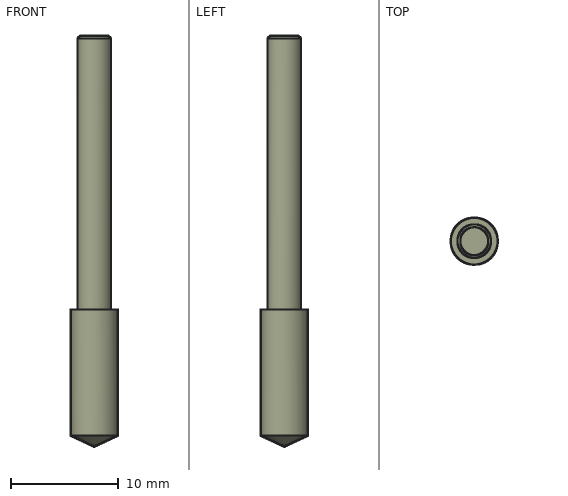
import cadquery as cq

total_length = 38.1
sleeve_diameter = 4.4
pin_diameter = 3.12
point_height = 1.03
sleeve_top = 12.73
end_chamfer = 0.25


def make_sleeve():
    """Solid cylinder whose lower end narrows to a conical point."""
    radius = sleeve_diameter / 2
    return (
        cq.Workplane("XZ")
        .moveTo(0, 0)
        .lineTo(radius, point_height)
        .lineTo(radius, sleeve_top)
        .lineTo(0, sleeve_top)
        .close()
        .revolve(360, (0, 0, 0), (0, 1, 0))
    )


def make_pin():
    """Round pin standing on the sleeve, chamfered at its free end."""
    return (
        cq.Workplane("XY", origin=(0, 0, sleeve_top))
        .circle(pin_diameter / 2)
        .extrude(total_length - sleeve_top)
        .faces(">Z")
        .chamfer(end_chamfer)
    )


sleeve = make_sleeve()
pin = make_pin()
result = cq.Compound.makeCompound([sleeve.val(), pin.val()])